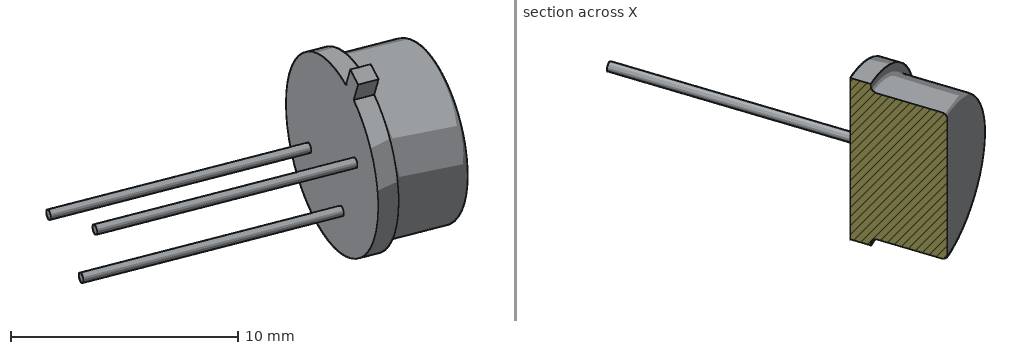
import cadquery as cq
import math


flange_diameter = 9.39
flange_thickness = 1.0

can_diameter = 8.5
can_height = 3.7
can_top_fillet = 0.3
can_base_fillet = 0.3

tab_angle = 67.2
tab_width = 0.86
tab_reach = 5.82

lead_diameter = 0.48
lead_length = 12.7
lead_circle_radius = 2.54
lead_count = 3
lead_spacing = 90.0
first_lead_angle = tab_angle - 45.0


def disc(diameter, start_y, height, center=(0, 0)):
    """Cylinder along Y, from start_y toward +Y, centred at (x, z)."""
    x, z = center
    plane = cq.Plane(origin=(x, start_y, z), xDir=(0, 0, 1), normal=(0, 1, 0))
    return cq.Workplane(plane).circle(diameter / 2).extrude(height)


def make_header():
    flange = disc(flange_diameter, 0, flange_thickness)
    tab = (
        cq.Workplane("XY")
        .box(tab_reach, flange_thickness, tab_width, centered=(False, False, True))
        .rotate((0, 0, 0), (0, 1, 0), -tab_angle)
    )
    return flange.union(tab)


def make_can():
    """Revolved can with a rounded top edge and a concave flare at its base."""
    radius = can_diameter / 2
    base_y = flange_thickness
    top_y = base_y + can_height
    diagonal = math.sqrt(0.5)
    flare_center = (base_y + can_base_fillet, radius + can_base_fillet)
    flare_mid = (
        flare_center[0] - can_base_fillet * diagonal,
        flare_center[1] - can_base_fillet * diagonal,
    )
    top_center = (top_y - can_top_fillet, radius - can_top_fillet)
    top_mid = (
        top_center[0] + can_top_fillet * diagonal,
        top_center[1] + can_top_fillet * diagonal,
    )
    return (
        cq.Workplane("YZ")
        .moveTo(base_y, 0)
        .lineTo(base_y, flare_center[1])
        .threePointArc(flare_mid, (flare_center[0], radius))
        .lineTo(top_center[0], radius)
        .threePointArc(top_mid, (top_y, top_center[1]))
        .lineTo(top_y, 0)
        .close()
        .revolve(360, (0, 0, 0), (1, 0, 0))
    )


def make_lead(angle):
    turn = math.radians(angle)
    center = (lead_circle_radius * math.cos(turn), lead_circle_radius * math.sin(turn))
    return disc(lead_diameter, -lead_length, lead_length, center)


result = make_header().union(make_can())
for index in range(lead_count):
    result = result.union(make_lead(first_lead_angle - index * lead_spacing))